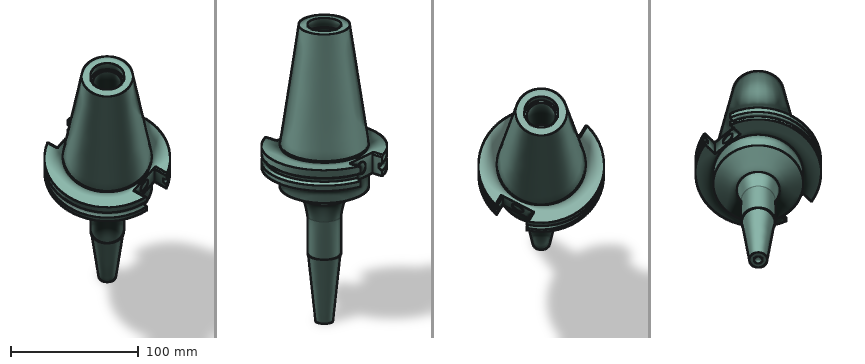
import cadquery as cq

total_length = 251.5
taper_length = 101.6
flange_top = 103.2
flange_bottom = 120.8
collar_end = 136.9
cone_end = 146.7
shank_start = 162.3
shank_end = 194.5

taper_top_radius = 20.1
taper_base_radius = 35.0
relief_radius = 34.2
flange_radius = 49.3
collar_radius = 35.2
neck_radius = 16.9
shank_radius = 13.3
nose_base_radius = 12.8
nose_tip_radius = 7.0
neck_curve_sag = 0.38

groove_depth = 3.3
groove_flank = 1.89
groove_top = flange_top + 6.5
groove_bottom = flange_top + 13.0

shallow_slot_floor = 37.7
deep_slot_floor = 35.7
slot_half_width = 13.3
slot_chamfer = 1.5
plug_radius = 5.0
plug_recess = 0.3

mouth_radius = 13.3
mouth_depth = 7.8
thread_radius = 11.3
thread_depth = 50.3
channel_radius = 5.0
channel_depth = 151.0
through_radius = 3.3


def height(depth):
    """Z of a point at the given distance below the small end of the taper."""
    return total_length - depth


def make_body():
    """Revolve the outside of the holder about Z."""
    groove_radius = flange_radius - groove_depth
    neck_mid_radius = (neck_radius + shank_radius) / 2 - neck_curve_sag
    neck_mid_depth = (cone_end + shank_start) / 2
    profile = (
        cq.Workplane("XZ")
        .moveTo(0, height(0))
        .lineTo(taper_top_radius, height(0))
        .lineTo(taper_base_radius, height(taper_length))
        .lineTo(relief_radius, height(taper_length))
        .lineTo(relief_radius, height(flange_top))
        .lineTo(flange_radius, height(flange_top))
        .lineTo(flange_radius, height(groove_top))
        .lineTo(groove_radius, height(groove_top + groove_flank))
        .lineTo(groove_radius, height(groove_bottom - groove_flank))
        .lineTo(flange_radius, height(groove_bottom))
        .lineTo(flange_radius, height(flange_bottom))
        .lineTo(collar_radius, height(flange_bottom))
        .lineTo(collar_radius, height(collar_end))
        .lineTo(neck_radius, height(cone_end))
        .threePointArc((neck_mid_radius, height(neck_mid_depth)), (shank_radius, height(shank_start)))
        .lineTo(shank_radius, height(shank_end))
        .lineTo(nose_base_radius, height(shank_end))
        .lineTo(nose_tip_radius, height(total_length))
        .lineTo(0, height(total_length))
        .close()
    )
    return profile.revolve(360, (0, 0, 0), (0, 1, 0))


def make_slot(side, slot_floor):
    """Cutter for one drive slot with chamfered upper edges and a shallow plug recess."""
    mouth_half_width = slot_half_width + slot_chamfer
    section = [
        (-slot_half_width, height(flange_bottom)),
        (slot_half_width, height(flange_bottom)),
        (slot_half_width, height(flange_top + slot_chamfer)),
        (mouth_half_width, height(flange_top)),
        (-mouth_half_width, height(flange_top)),
        (-slot_half_width, height(flange_top + slot_chamfer)),
    ]
    floor = cq.Workplane("YZ", origin=(side * slot_floor, 0, 0))
    slot = floor.polyline(section).close().extrude(side * flange_radius)
    plug_height = height((flange_top + flange_bottom) / 2)
    plug = floor.center(0, plug_height).circle(plug_radius).extrude(-side * plug_recess)
    return slot.union(plug)


def make_bore(radius, depth):
    """Cylinder cutter running down from the small end of the taper."""
    return cq.Workplane("XY", origin=(0, 0, total_length)).circle(radius).extrude(-depth)


result = make_body()
for side, slot_floor in [(-1, shallow_slot_floor), (1, deep_slot_floor)]:
    result = result.cut(make_slot(side, slot_floor))

bore_steps = [
    (mouth_radius, mouth_depth),
    (thread_radius, thread_depth),
    (channel_radius, channel_depth),
    (through_radius, total_length),
]
for radius, depth in bore_steps:
    result = result.cut(make_bore(radius, depth))